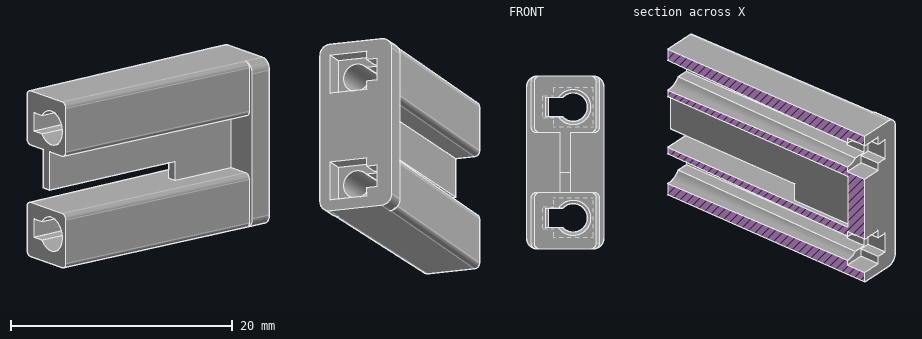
import cadquery as cq

length = 23.0
width = 7.0
height = 15.6

flange_thickness = 2.0
flange_corner_radius = 1.0
flange_front = length - flange_thickness

leg_height = 5.1
leg_root_width = 6.16
leg_tip_width = 5.57
leg_corner_radius = 0.5
leg_center_z = (height - leg_height) / 2

bore_center_x = 0.71
bore_center_z = 5.0
bore_front_radius = 1.59
bore_back_radius = 1.25
slot_height = 1.72
slot_front_reach = 2.5
slot_back_reach = 2.2
slot_step_depth = flange_front - flange_thickness

pocket_size = 3.55
pocket_depth = flange_thickness
side_pocket_reach = 2.75
side_pocket_height = 2.0

web_thickness = 0.95
relief_length = 14.51
relief_top_z = -0.92
lower_leg_top_z = leg_height - height / 2


def section(y):
    """Sketch plane facing -Y at the given Y, with local x = X and local y = Z."""
    return cq.Workplane("XZ", origin=(0, y, 0))


def rounded_rectangle(x_size, z_size, radius):
    return cq.Sketch().rect(x_size, z_size).vertices().fillet(radius)


def make_leg(center_z):
    root = rounded_rectangle(leg_root_width, leg_height, leg_corner_radius)
    tip = rounded_rectangle(leg_tip_width, leg_height, leg_corner_radius)
    root_plane = section(flange_front).center(0, center_z)
    return root_plane.placeSketch(root, tip.moved(cq.Location((0, 0, flange_front)))).loft()


def make_keyhole(center_z):
    round_bore = (
        section(length).center(bore_center_x, center_z).circle(bore_back_radius)
        .workplane(offset=length).circle(bore_front_radius).loft()
    )
    slot = (
        cq.Workplane("XY", origin=(bore_center_x, 0, center_z - slot_height / 2))
        .moveTo(0, 0).lineTo(-slot_front_reach, 0).lineTo(-slot_front_reach, slot_step_depth)
        .lineTo(-slot_back_reach, slot_step_depth).lineTo(-slot_back_reach, length).lineTo(0, length)
        .close().extrude(slot_height)
    )
    return round_bore.union(slot)


def make_web():
    web = cq.Workplane("XY").box(web_thickness, flange_front, 2 * leg_center_z, centered=(True, False, True))
    relief = cq.Workplane("XY", origin=(0, 0, lower_leg_top_z)).box(
        width, relief_length, relief_top_z - lower_leg_top_z, centered=(True, False, False)
    )
    return web.cut(relief)


def make_pocket(center_z):
    plane = section(length).center(bore_center_x, center_z)
    main_pocket = plane.rect(pocket_size, pocket_size).extrude(pocket_depth)
    side_pocket = (
        plane.center(-side_pocket_reach / 2, 0).rect(side_pocket_reach, side_pocket_height)
        .extrude(pocket_depth)
    )
    return main_pocket.union(side_pocket)


flange_outline = rounded_rectangle(width, height, flange_corner_radius)
flange = section(length).placeSketch(flange_outline).extrude(flange_thickness)

result = flange.union(make_web())
for side in (-1, 1):
    result = result.union(make_leg(side * leg_center_z))
for side in (-1, 1):
    result = result.cut(make_keyhole(side * bore_center_z))
    result = result.cut(make_pocket(side * bore_center_z))